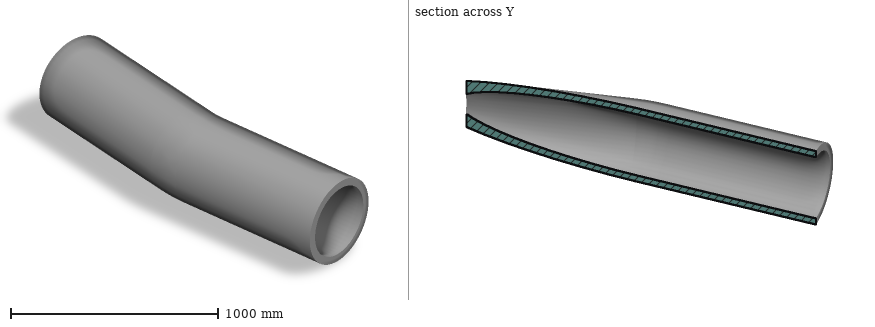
import cadquery as cq
import math

overall_length = 1826.0
outer_diameter = 450.0
bore_diameter = 369.0
bend_angle = 11.0
bend_radius = 1.5 * outer_diameter
angle = math.radians(bend_angle)

outer_bend_length = (bend_radius + outer_diameter / 2) * math.sin(angle)
leg_length = (overall_length - outer_bend_length) / (1 + math.cos(angle))

bend_start = (leg_length, 0)
bend_middle = (
    leg_length + bend_radius * math.sin(angle / 2),
    bend_radius * (1 - math.cos(angle / 2)),
)
bend_end = (
    leg_length + bend_radius * math.sin(angle),
    bend_radius * (1 - math.cos(angle)),
)
pipe_end = (
    bend_end[0] + leg_length * math.cos(angle),
    bend_end[1] + leg_length * math.sin(angle),
)

centreline = (
    cq.Workplane("XY")
    .lineTo(*bend_start)
    .threePointArc(bend_middle, bend_end)
    .lineTo(*pipe_end)
)

result = (
    cq.Workplane("YZ")
    .circle(outer_diameter / 2)
    .circle(bore_diameter / 2)
    .sweep(centreline)
)